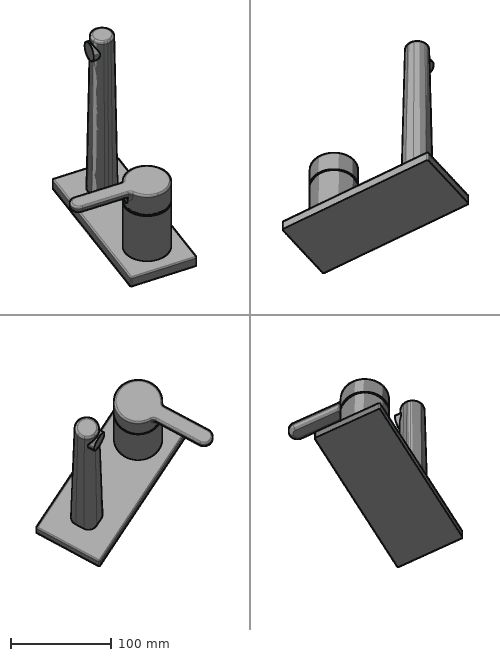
import cadquery as cq
import math

PLATE_LENGTH = 175.0
PLATE_WIDTH = 74.2
PLATE_HEIGHT = 11.9
PLATE_EDGE_RADIUS = 1.5
AXIS_SPACING = 100.0

TOTAL_HEIGHT = 211.9
SPOUT_X = -AXIS_SPACING / 2
SPOUT_FOOT_SIDE = 28.4
SPOUT_FOOT_CORNER = 9.5
SPOUT_TOP_RADIUS = 12.3
SPOUT_TOP_ROUND = 2.8
OUTLET_RADIUS = 10.4
OUTLET_Z = 194.7
OUTLET_REACH = 14.5

MIXER_X = AXIS_SPACING / 2
MIXER_RADIUS = 24.4
GROOVE_BOTTOM_Z = 70.0
GROOVE_HEIGHT = 1.7
GROOVE_DEPTH = 1.3
CAP_BACK_Z = 96.5
CAP_TOP_ROUND = 2.1

LEVER_WIDTH = 17.8
LEVER_REACH = 85.4
LEVER_THICKNESS = 9.0
LEVER_RISE = 0.8
LEVER_UNDER_ROUND = 4.2
LEVER_ROOT_RADIUS = 4.2

SCREW_RADIUS = 4.7
SCREW_Z = 81.5
SCREW_SEAT_REACH = 6.4

SELECT_MARGIN = 1.0

LEVER_SLOPE = math.degrees(math.atan2(LEVER_RISE, LEVER_REACH + MIXER_RADIUS))


def base_plate():
    plate = cq.Workplane("XY").box(PLATE_LENGTH, PLATE_WIDTH, PLATE_HEIGHT, centered=(True, True, False))
    return plate.edges("|Z or >Z").fillet(PLATE_EDGE_RADIUS)


def spout():
    """Column lofted from a rounded square to a circle, with a round outlet on its front."""
    height = TOTAL_HEIGHT - PLATE_HEIGHT
    foot = cq.Workplane("XY").rect(SPOUT_FOOT_SIDE, SPOUT_FOOT_SIDE).extrude(height)
    foot_wire = foot.edges("|Z").fillet(SPOUT_FOOT_CORNER).faces("<Z").wires().val()
    top_wire = cq.Wire.makeCircle(SPOUT_TOP_RADIUS, cq.Vector(0, 0, height), cq.Vector(0, 0, 1))
    column = cq.Workplane(cq.Solid.makeLoft([foot_wire, top_wire], True))
    column = column.faces(">Z").edges().fillet(SPOUT_TOP_ROUND)
    column = column.translate((SPOUT_X, 0, PLATE_HEIGHT))
    outlet = cq.Workplane("XZ", origin=(SPOUT_X, 0, OUTLET_Z)).circle(OUTLET_RADIUS).extrude(OUTLET_REACH)
    return column.union(outlet)


def mixer_body():
    """Lower cylinder with a chamfered rim that forms the groove below the cap."""
    body = cq.Workplane("XY").circle(MIXER_RADIUS).extrude(GROOVE_BOTTOM_Z + GROOVE_HEIGHT)
    body = body.faces(">Z").edges().chamfer(GROOVE_HEIGHT, GROOVE_DEPTH)
    return body.translate((MIXER_X, 0, 0))


def lever_blank(bottom_z, height):
    """Level, round-ended lever with a rounded underside, starting on the mixer axis."""
    straight_length = LEVER_REACH - LEVER_WIDTH / 2
    lever = (
        cq.Workplane("XY", origin=(0, 0, bottom_z))
        .moveTo(-LEVER_WIDTH / 2, 0)
        .lineTo(-LEVER_WIDTH / 2, -straight_length)
        .threePointArc((0, -LEVER_REACH), (LEVER_WIDTH / 2, -straight_length))
        .lineTo(LEVER_WIDTH / 2, 0)
        .close()
        .extrude(height)
    )
    under_edges = lever.faces("<Z").edges("not >Y")
    return under_edges.fillet(LEVER_UNDER_ROUND)


def cap_with_lever():
    """Cap and lever under one sloping top face, with the set screw seat below the lever."""
    cap_bottom = GROOVE_BOTTOM_Z + GROOVE_HEIGHT
    spare = 6.4
    cap = cq.Workplane("XY", origin=(0, 0, cap_bottom)).circle(MIXER_RADIUS)
    cap = cap.extrude(CAP_BACK_Z - cap_bottom + spare)

    rear_rim = (0, MIXER_RADIUS, CAP_BACK_Z)
    pivot_end = (1, MIXER_RADIUS, CAP_BACK_Z)
    lever = lever_blank(CAP_BACK_Z - LEVER_THICKNESS, LEVER_THICKNESS + spare)
    lever = lever.rotate(rear_rim, pivot_end, -LEVER_SLOPE)
    handle = cap.union(lever)

    joint_back_y = -math.sqrt(MIXER_RADIUS**2 - (LEVER_WIDTH / 2) ** 2)
    root = cq.selectors.BoxSelector(
        (-LEVER_WIDTH, -MIXER_RADIUS - SELECT_MARGIN, CAP_BACK_Z - LEVER_THICKNESS - SELECT_MARGIN),
        (LEVER_WIDTH, joint_back_y + SELECT_MARGIN, CAP_BACK_Z + spare),
    )
    handle = handle.edges(root).fillet(LEVER_ROOT_RADIUS)

    cutter_side = 3 * LEVER_REACH
    cutter = cq.Workplane("XY", origin=(0, 0, CAP_BACK_Z)).rect(cutter_side, cutter_side).extrude(2 * spare)
    handle = handle.cut(cutter.rotate(rear_rim, pivot_end, -LEVER_SLOPE))
    handle = handle.faces(">Z").edges().fillet(CAP_TOP_ROUND)

    seat_y = -math.sqrt(MIXER_RADIUS**2 - SCREW_RADIUS**2)
    seat = cq.Workplane("XZ", origin=(0, seat_y, SCREW_Z)).circle(SCREW_RADIUS)
    handle = handle.cut(seat.extrude(SCREW_SEAT_REACH))
    return handle.translate((MIXER_X, 0, 0))


result = base_plate().union(spout()).union(mixer_body()).union(cap_with_lever())